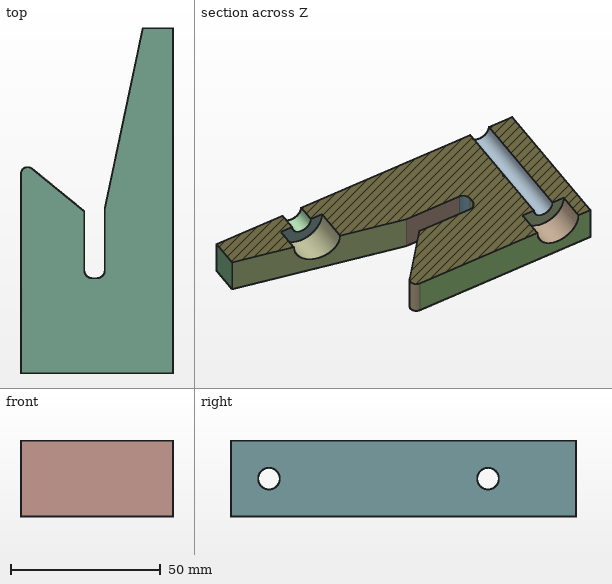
import cadquery as cq
import math

width = 50.8
length = 115.09
thickness = 25.4

slot_left = 21.2
slot_width = 6.75
slot_right = slot_left + slot_width
slot_floor = 31.75
slot_corner_radius = 2.54

arm_end_width = 10.16
arm_taper = math.radians(11.9)
arm_end_left = width - arm_end_width
arm_taper_start = length - (arm_end_left - slot_right) / math.tan(arm_taper)

jaw_slope = math.radians(39.2)
jaw_slot_height = 54.0
jaw_tip_height = jaw_slot_height + slot_left * math.tan(jaw_slope)
jaw_tip_radius = 2.286

hole_diameter = 7.14
counterbore_diameter = 15.875
hole_z = thickness / 2
lower_hole_y = 12.7
hole_spacing = 73.025
upper_hole_y = lower_hole_y + hole_spacing
lower_counterbore_depth = 9.525
upper_seat_thickness = 6.35
upper_seat_x = width - upper_seat_thickness


def make_body():
    """Extrude the forked outline and round its jaw tip and slot corners."""
    outline = [
        (0, 0),
        (width, 0),
        (width, length),
        (arm_end_left, length),
        (slot_right, arm_taper_start),
        (slot_right, slot_floor),
        (slot_left, slot_floor),
        (slot_left, jaw_slot_height),
        (0, jaw_tip_height),
    ]
    body = cq.Workplane("XY").polyline(outline).close().extrude(thickness)
    body = round_corner(body, 0, jaw_tip_height, jaw_tip_radius)
    for corner_x in (slot_left, slot_right):
        body = round_corner(body, corner_x, slot_floor, slot_corner_radius)
    return body


def round_corner(body, x, y, radius):
    """Fillet the vertical edge nearest to (x, y)."""
    edge_middle = (x, y, thickness / 2)
    return body.edges("|Z").edges(cq.selectors.NearestToPointSelector(edge_middle)).fillet(radius)


def cylinder_along_x(diameter, y, end_x):
    """Cylinder from the X = 0 plane to end_x, centred at height hole_z."""
    return cq.Workplane("YZ").center(y, hole_z).circle(diameter / 2).extrude(end_x)


def cut_counterbored_hole(body, y, seat_x):
    """Through hole with its counterbore open to -X and seated at seat_x."""
    body = body.cut(cylinder_along_x(hole_diameter, y, width))
    return body.cut(cylinder_along_x(counterbore_diameter, y, seat_x))


result = make_body()
result = cut_counterbored_hole(result, lower_hole_y, lower_counterbore_depth)
result = cut_counterbored_hole(result, upper_hole_y, upper_seat_x)